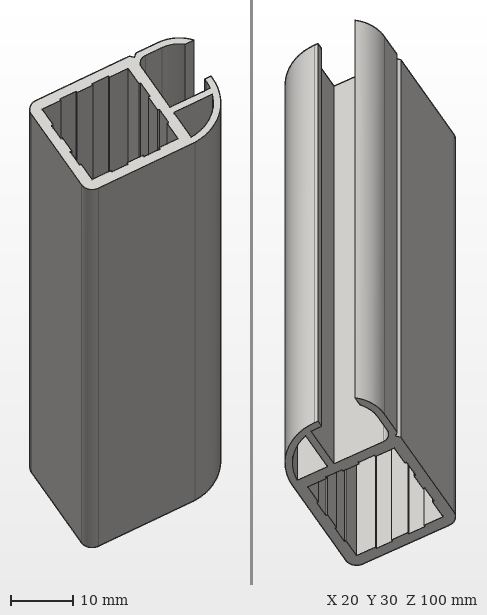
import cadquery as cq
import math

length = 100.0
tube_size = 20.0
overall_depth = 30.0
half = tube_size / 2
tube_wall = 2.0
tube_corner_radius = 2.0

groove_width = 3.0
groove_depth = 0.3
groove_offset = 3.0

thin_wall = 1.2
lip_radius = 6.7
lip_reach = 2.5
root_fillet = 1.7
notch_half_width = 0.6
quarter_height = 8.8
quarter_radius = 9.4
hook_reach = 10.0
rib_left = 2.0

tip_y = overall_depth - half


def extrude(outline):
    return outline.close().extrude(length)


def rectangle(x_min, x_max, y_min, y_max):
    return (
        cq.Workplane("XY")
        .center((x_min + x_max) / 2, (y_min + y_max) / 2)
        .rect(x_max - x_min, y_max - y_min)
        .extrude(length)
    )


def point_on_circle(center, radius, angle):
    return (center[0] + radius * math.cos(angle), center[1] + radius * math.sin(angle))


def square_tube():
    body = rectangle(-half, half, -half, half)
    body = body.edges("|Z and <Y").fillet(tube_corner_radius)
    inner = half - tube_wall
    groove_end = inner + groove_depth
    body = body.cut(rectangle(-inner, inner, -inner, inner))
    for side in (-1, 1):
        low = side * groove_offset - groove_width / 2
        high = low + groove_width
        body = body.cut(rectangle(low, high, -groove_end, groove_end))
        body = body.cut(rectangle(-groove_end, groove_end, low, high))
    return body


def half_chord(radius, distance):
    return math.sqrt(radius**2 - distance**2)


def curled_lip():
    center_x = -half + lip_radius
    tip_x = -half + lip_reach
    inner_radius = lip_radius - thin_wall
    tip_offset = center_x - tip_x
    center_y = tip_y - half_chord(lip_radius, tip_offset)
    center = (center_x, center_y)
    inner_tip = (tip_x, center_y + half_chord(inner_radius, tip_offset))
    outer_middle = math.pi - math.acos(tip_offset / lip_radius) / 2
    inner_middle = math.pi - math.acos(tip_offset / inner_radius) / 2
    inner_x = -half + thin_wall
    fillet_center = (inner_x + root_fillet, half + root_fillet)
    return extrude(
        cq.Workplane("XY")
        .moveTo(-half, half)
        .lineTo(-half, center_y)
        .threePointArc(point_on_circle(center, lip_radius, outer_middle), (tip_x, tip_y))
        .lineTo(*inner_tip)
        .threePointArc(
            point_on_circle(center, inner_radius, inner_middle), (inner_x, center_y)
        )
        .lineTo(inner_x, fillet_center[1])
        .threePointArc(
            point_on_circle(fillet_center, root_fillet, math.radians(225)),
            (fillet_center[0], half),
        )
    )


quarter_drop = quarter_radius - quarter_height
quarter_center = (half - half_chord(quarter_radius, quarter_drop), half - quarter_drop)


def quarter_round():
    center_x, center_y = quarter_center
    inner_radius = quarter_radius - thin_wall
    hook_x = half - hook_reach
    top = half + quarter_height
    middle = math.radians(45)
    return extrude(
        cq.Workplane("XY")
        .moveTo(half, half)
        .threePointArc(point_on_circle(quarter_center, quarter_radius, middle), (center_x, top))
        .lineTo(hook_x, top)
        .lineTo(hook_x, top - thin_wall)
        .lineTo(center_x, top - thin_wall)
        .threePointArc(
            point_on_circle(quarter_center, inner_radius, middle),
            (center_x + half_chord(inner_radius, quarter_drop), half),
        )
    )


def rib():
    rib_right = rib_left + thin_wall
    middle_radius = quarter_radius - thin_wall / 2
    rib_top = quarter_center[1] + half_chord(middle_radius, rib_right - quarter_center[0])
    return rectangle(rib_left, rib_right, half, rib_top)


def side_notch():
    return extrude(
        cq.Workplane("XY")
        .moveTo(-half, half - notch_half_width)
        .lineTo(-half + notch_half_width, half)
        .lineTo(-half, half + notch_half_width)
    )


result = square_tube().union(curled_lip()).union(quarter_round()).union(rib()).cut(side_notch())